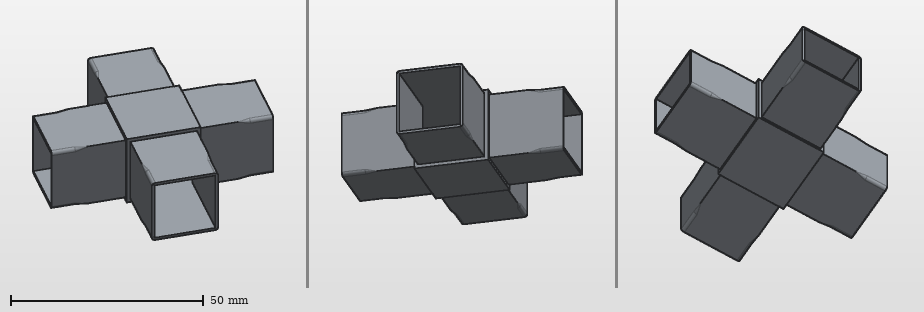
import cadquery as cq
import math

span = 60.0
hub_size = span / 3
arm_size = 18.0
bore_size = 16.5
corner_radius = 0.95
rounded_length = 6.3
fade_end = 9.6
faded_radius = 0.03


def square_bar(size, length):
    """Square bar along X, centred on the origin."""
    return cq.Workplane("XY").box(length, size, size)


def corner_waste(x, radius):
    """Section outside a rounded arm corner, on the plane at the given x."""
    edge = arm_size / 2
    tangent = edge - radius
    arc_middle = tangent + radius * math.sqrt(0.5)
    return (
        cq.Workplane("YZ", origin=(x, 0, 0))
        .moveTo(edge, edge)
        .lineTo(tangent, edge)
        .threePointArc((arc_middle, arc_middle), (edge, tangent))
        .close()
    )


def corner_cutter():
    """Rounds one edge at the +X tip, fading into the sharp edge."""
    tip = span / 2
    fade_start = tip - rounded_length
    full = corner_waste(fade_start, corner_radius).extrude(rounded_length)
    small_wire = corner_waste(tip - fade_end, faded_radius).val()
    large_wire = corner_waste(fade_start, corner_radius).val()
    fade = cq.Solid.makeLoft([small_wire, large_wire], True)
    return full.union(cq.Workplane(obj=fade))


def arm_pair():
    """Two opposite arms along X with rounded edges at both tips."""
    bar = square_bar(arm_size, span)
    cutter = corner_cutter()
    for tip_angle in (0, 180):
        for edge_angle in (0, 90, 180, 270):
            bar = bar.cut(
                cutter.rotate((0, 0, 0), (1, 0, 0), edge_angle)
                .rotate((0, 0, 0), (0, 0, 1), tip_angle)
            )
    return bar


def turned_to_y(body):
    """Copy of an X-aligned body turned to lie along Y."""
    return body.rotate((0, 0, 0), (0, 0, 1), 90)


hub = square_bar(hub_size, hub_size)
arms = arm_pair()
bore = square_bar(bore_size, span)

result = hub.union(arms).union(turned_to_y(arms))
result = result.cut(bore).cut(turned_to_y(bore))